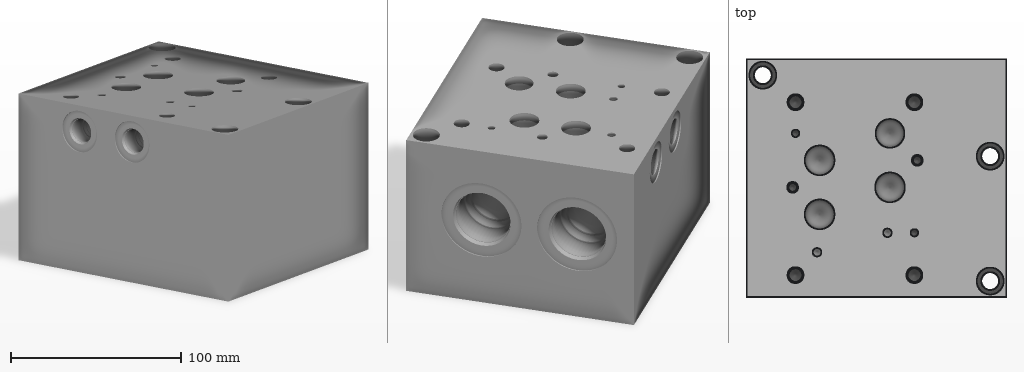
import cadquery as cq
import math

LENGTH = 152.4
WIDTH = 139.8
HEIGHT = 101.7

DRILL_POINT_ANGLE = 118.0

BOLT_RIGHT_X = 98.5
BOLT_REAR_Y = 114.5
BOLT_PITCH_X = 69.8
BOLT_PITCH_Y = 101.5
BOLT_THREAD_DIA = 9.5
BOLT_THREAD_DEPTH = 24.4
BOLT_DRILL_DIA = 8.0
BOLT_DRILL_DEPTH = 30.5

VALVE_PORT_DIA = 17.5
TANK_PORT_DIA = 16.9
VALVE_PORT_DEPTH = 4.9
TANK_PORT_SPOT = (14.3, 18.3)
VALVE_PORT_SPOTS = [(14.3, 50.0), (55.6, 34.1), (55.6, 65.8)]

VALVE_PILOT_DIA = 5.0
VALVE_PILOT_DEPTH = 1.5
VALVE_PILOT_SPOTS = [(15.8, 76.7), (57.2, 88.1)]

PIN_DIA = 4.4
PIN_DEPTH = 9.1
PIN_SPOTS = [(0.0, 76.7), (BOLT_PITCH_X, 18.3)]

DRAIN_DIA = 6.4
DRAIN_DEPTH = 9.1
DRAIN_DRILL_DIA = 5.0
DRAIN_DRILL_DEPTH = 15.2
DRAIN_SPOTS = [(-1.7, 34.1), (71.5, 50.0)]

MOUNT_EDGE = 9.5
MOUNT_MIDDLE_Y = 82.8
MOUNT_DIA = 10.4
MOUNT_BORE_DIA = 15.8
MOUNT_BORE_DEPTH = 15.2

SPOTFACE_DEPTH = 0.8

WORK_PORT_Y = (34.9, 93.5)
WORK_PORT_Z = 55.5
WORK_SPOTFACE_DIA = 49.0
WORK_MOUTH_DIA = 35.4
WORK_SEAT_DIA = 33.8
WORK_SEAT_DEPTH = 3.5
WORK_THREAD_DIA = 33.4
WORK_THREAD_DEPTH = 19.8
WORK_TAP_DIA = 31.2
WORK_TAP_DEPTH = 27.5
WORK_DRILL_DIA = 28.7
WORK_DRILL_DEPTH = 36.5

PILOT_PORT_X = (44.3, 82.5)
PILOT_PORT_Z = 85.8
PILOT_SPOTFACE_DIA = 25.1
PILOT_MOUTH_DIA = 15.8
PILOT_SEAT_DIA = 14.6
PILOT_SEAT_DEPTH = 2.6
PILOT_THREAD_DIA = 14.3
PILOT_THREAD_DEPTH = 12.8
PILOT_TAP_DIA = 13.0
PILOT_TAP_DEPTH = 15.2
PILOT_DRILL_DIA = 12.3
PILOT_DRILL_DEPTH = 21.3


def stepped_hole(plane, steps):
    """Drill-pointed hole along -Z of the plane; each step is (top dia, bottom dia, bottom depth)."""
    outline = cq.Workplane("XZ").moveTo(0, 0)
    depth = 0.0
    for top_dia, bottom_dia, bottom_depth in steps:
        outline = outline.lineTo(top_dia / 2, -depth)
        outline = outline.lineTo(bottom_dia / 2, -bottom_depth)
        depth = bottom_depth
    point_depth = bottom_dia / 2 / math.tan(math.radians(DRILL_POINT_ANGLE / 2))
    solid = outline.lineTo(0, -depth - point_depth).close().revolve(360, (0, 0, 0), (0, 1, 0)).val()
    return solid.moved(plane.location)


def top_hole(x, y, *cylinders):
    """Hole down from the top face; each cylinder is (dia, bottom depth)."""
    steps = [(dia, dia, depth) for dia, depth in cylinders]
    return stepped_hole(cq.Plane((x, y, HEIGHT)), steps)


def valve_holes(spots, *cylinders):
    return [top_hole(BOLT_RIGHT_X - left, BOLT_REAR_Y - front, *cylinders) for left, front in spots]


def work_port(y):
    plane = cq.Plane((0, y, WORK_PORT_Z), xDir=(0, 1, 0), normal=(-1, 0, 0))
    return stepped_hole(plane, [
        (WORK_SPOTFACE_DIA, WORK_SPOTFACE_DIA, SPOTFACE_DEPTH),
        (WORK_MOUTH_DIA, WORK_SEAT_DIA, WORK_SEAT_DEPTH),
        (WORK_THREAD_DIA, WORK_THREAD_DIA, WORK_THREAD_DEPTH),
        (WORK_TAP_DIA, WORK_TAP_DIA, WORK_TAP_DEPTH),
        (WORK_DRILL_DIA, WORK_DRILL_DIA, WORK_DRILL_DEPTH),
    ])


def pilot_port(x):
    plane = cq.Plane((x, 0, PILOT_PORT_Z), xDir=(1, 0, 0), normal=(0, -1, 0))
    return stepped_hole(plane, [
        (PILOT_SPOTFACE_DIA, PILOT_SPOTFACE_DIA, SPOTFACE_DEPTH),
        (PILOT_MOUTH_DIA, PILOT_SEAT_DIA, PILOT_SEAT_DEPTH),
        (PILOT_THREAD_DIA, PILOT_THREAD_DIA, PILOT_THREAD_DEPTH),
        (PILOT_TAP_DIA, PILOT_TAP_DIA, PILOT_TAP_DEPTH),
        (PILOT_DRILL_DIA, PILOT_DRILL_DIA, PILOT_DRILL_DEPTH),
    ])


bolt_spots = [(left, front) for left in (0, BOLT_PITCH_X) for front in (0, BOLT_PITCH_Y)]
mount_right_x = LENGTH - MOUNT_EDGE
mount_spots = [
    (MOUNT_EDGE, WIDTH - MOUNT_EDGE),
    (mount_right_x, MOUNT_MIDDLE_Y),
    (mount_right_x, MOUNT_EDGE),
]

holes = valve_holes(bolt_spots, (BOLT_THREAD_DIA, BOLT_THREAD_DEPTH), (BOLT_DRILL_DIA, BOLT_DRILL_DEPTH))
holes += valve_holes(VALVE_PORT_SPOTS, (VALVE_PORT_DIA, VALVE_PORT_DEPTH))
holes += valve_holes([TANK_PORT_SPOT], (TANK_PORT_DIA, VALVE_PORT_DEPTH))
holes += valve_holes(VALVE_PILOT_SPOTS, (VALVE_PILOT_DIA, VALVE_PILOT_DEPTH))
holes += valve_holes(PIN_SPOTS, (PIN_DIA, PIN_DEPTH))
holes += valve_holes(DRAIN_SPOTS, (DRAIN_DIA, DRAIN_DEPTH), (DRAIN_DRILL_DIA, DRAIN_DRILL_DEPTH))
holes += [top_hole(x, y, (MOUNT_BORE_DIA, MOUNT_BORE_DEPTH), (MOUNT_DIA, HEIGHT)) for x, y in mount_spots]
holes += [work_port(y) for y in WORK_PORT_Y]
holes += [pilot_port(x) for x in PILOT_PORT_X]

result = cq.Workplane("XY").box(LENGTH, WIDTH, HEIGHT, centered=False)
for hole in holes:
    result = result.cut(cq.Workplane(hole))